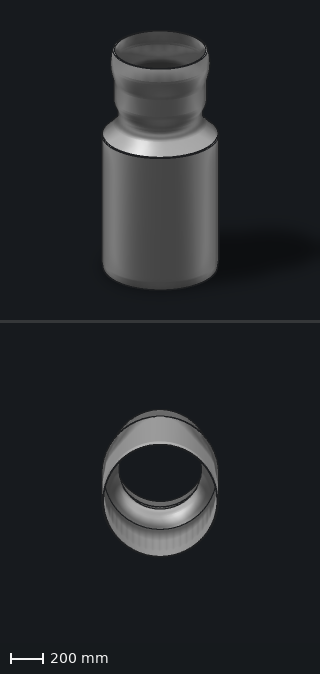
import cadquery as cq
import math

TOTAL_HEIGHT = 1480.0

PIPE_OD = 730.0
PIPE_ID = 706.0
PIPE_TOP = 901.0
PIPE_TAPER_HEIGHT = 46.0
PIPE_BEND_TOP = 56.0
PIPE_END_OD = 715.0

NECK_OD = 530.0
NECK_ID = 510.0
SLEEVE_OD = 580.0
BULGE_OD = 620.0
SHEET = (NECK_OD - NECK_ID) / 2

CONE_ANGLE = math.radians(45)
CONE_BEND = 81.0
NECK_BEND = 86.0
SLEEVE_BEND = 100.0
BULGE_ROOT = 100.0
BULGE_RADIUS = 237.0

NECK_TOP = 1057.0
SLEEVE_TOP = 1265.0
BULGE_BAND = 16.0


def on_arc(center, radius, angle):
    """Point (radius from the axis, height) on an arc, at an angle above horizontal."""
    return (center[0] + radius * math.cos(angle), center[1] + radius * math.sin(angle))


def s_bend_angle(start_od, end_od, first_radius, second_radius):
    """Slope where two opposite tangent arcs join a smaller to a larger cylinder."""
    rise = (end_od - start_od) / 2
    return math.acos(1 - rise / (first_radius + second_radius))


CONE_INNER_EDGE = (PIPE_ID / 2, PIPE_TOP)
CONE_OUTER_EDGE = on_arc(CONE_INNER_EDGE, SHEET, CONE_ANGLE)
CONE_BEND_END = NECK_OD / 2 + CONE_BEND * (1 - math.cos(CONE_ANGLE))
CONE_HEIGHT = (CONE_OUTER_EDGE[0] - CONE_BEND_END) * math.tan(CONE_ANGLE)
NECK_BOTTOM = CONE_OUTER_EDGE[1] + CONE_HEIGHT + CONE_BEND * math.sin(CONE_ANGLE)

SLEEVE_ANGLE = s_bend_angle(NECK_OD, SLEEVE_OD, NECK_BEND, SLEEVE_BEND)
BULGE_ANGLE = s_bend_angle(SLEEVE_OD, BULGE_OD, BULGE_ROOT, BULGE_RADIUS)
SLEEVE_BOTTOM = NECK_TOP + (NECK_BEND + SLEEVE_BEND) * math.sin(SLEEVE_ANGLE)
BULGE_BOTTOM = SLEEVE_TOP + (BULGE_ROOT + BULGE_RADIUS) * math.sin(BULGE_ANGLE)
BULGE_TOP = BULGE_BOTTOM + BULGE_BAND


def hollow_arc(center, radius, start, end):
    """Start, middle and end of an arc whose centre lies outside the wall."""
    return [on_arc(center, radius, math.pi - a) for a in (start, (start + end) / 2, end)]


def round_arc(center, radius, start, end):
    """Start, middle and end of an arc whose centre lies inside the wall."""
    return [on_arc(center, radius, a) for a in (start, (start + end) / 2, end)]


def socket_arcs(depth):
    """Arcs of the socket surface lying `depth` below its outside, from the cone upwards."""
    cone_center = (NECK_OD / 2 + CONE_BEND, NECK_BOTTOM)
    neck_center = (NECK_OD / 2 + NECK_BEND, NECK_TOP)
    sleeve_center = (SLEEVE_OD / 2 - SLEEVE_BEND, SLEEVE_BOTTOM)
    root_center = (SLEEVE_OD / 2 + BULGE_ROOT, SLEEVE_TOP)
    lower_center = (BULGE_OD / 2 - BULGE_RADIUS, BULGE_BOTTOM)
    upper_center = (BULGE_OD / 2 - BULGE_RADIUS, BULGE_TOP)
    bulge = BULGE_RADIUS - depth
    rim_angle = math.asin((TOTAL_HEIGHT - BULGE_TOP) / bulge)
    return [
        hollow_arc(cone_center, CONE_BEND + depth, -CONE_ANGLE, 0),
        hollow_arc(neck_center, NECK_BEND + depth, 0, SLEEVE_ANGLE),
        round_arc(sleeve_center, SLEEVE_BEND - depth, -SLEEVE_ANGLE, 0),
        hollow_arc(root_center, BULGE_ROOT + depth, 0, BULGE_ANGLE),
        round_arc(lower_center, bulge, -BULGE_ANGLE, 0),
        round_arc(upper_center, bulge, 0, rim_angle),
    ]


def add_arcs(profile, arcs):
    """Follow the arcs, with a straight line across each gap between them."""
    last = None
    same_point = 1.48e-05
    for start, middle, end in arcs:
        if last is None or math.dist(last, start) > same_point:
            profile = profile.lineTo(*start)
        profile = profile.threePointArc(middle, end)
        last = end
    return profile


def revolve_profile(profile):
    """Close the outline and turn it once around the Z axis."""
    return profile.close().revolve(360, (0, 0, 0), (0, 1, 0))


def make_socket():
    """Sheet socket of even thickness, from the cone's edge up to the flat rim."""
    outside = socket_arcs(0)
    inside = [arc[::-1] for arc in reversed(socket_arcs(SHEET))]
    profile = cq.Workplane("XZ").moveTo(*CONE_OUTER_EDGE)
    profile = add_arcs(profile, outside)
    profile = add_arcs(profile, inside)
    return revolve_profile(profile.lineTo(*CONE_INNER_EDGE))


def make_pipe():
    """Straight pipe whose lower end bends into a slight inward taper."""
    taper = math.atan((PIPE_OD - PIPE_END_OD) / 2 / PIPE_TAPER_HEIGHT)
    bend_radius = (PIPE_BEND_TOP - PIPE_TAPER_HEIGHT) / math.sin(taper)
    bend_center = (PIPE_OD / 2 - bend_radius, PIPE_BEND_TOP)
    bend = round_arc(bend_center, bend_radius, 0, -taper)
    profile = cq.Workplane("XZ").moveTo(PIPE_ID / 2, PIPE_TOP).lineTo(PIPE_OD / 2, PIPE_TOP)
    profile = add_arcs(profile, [bend])
    profile = profile.lineTo(PIPE_END_OD / 2, 0).lineTo(PIPE_ID / 2, 0)
    return revolve_profile(profile)


socket = make_socket()
pipe = make_pipe()
result = cq.Compound.makeCompound([socket.val(), pipe.val()])